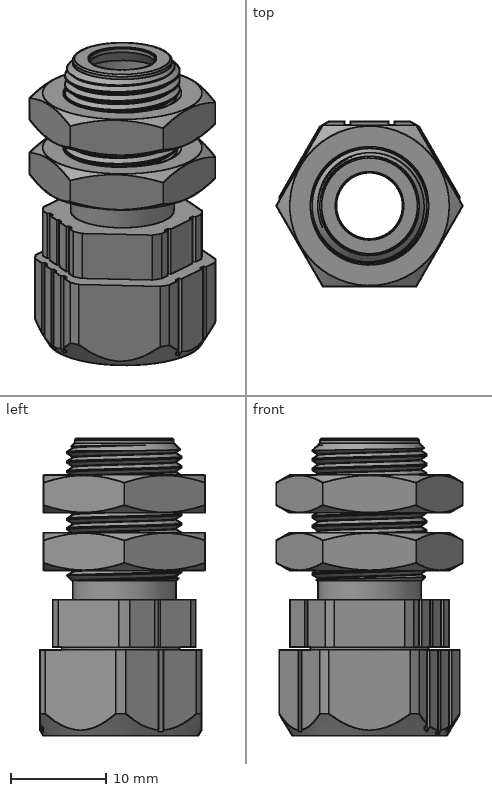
import cadquery as cq
import math


HEIGHT = 31.3
BORE_RADIUS = 4.35
LIP_RADIUS = 3.47
LIP_DEPTH = 0.53
LIP_CHAMFER = 0.13
BORE_TAPER_DEPTH = 1.22

CAP_FLATS = 17.0
CAP_CORNER_RADIUS = 9.5
CAP_HEIGHT = 9.05
CAP_BOTTOM_RADIUS = 8.15
CAP_TAPER_HEIGHT = 2.32
CAP_OFFSET_Y = 0.38

COLLAR_RADIUS = 6.23
BODY_BOTTOM = 9.33
BODY_TOP = 14.35
BODY_FLATS = 15.05
BODY_CORNER_RADIUS = 8.4

THREAD_PITCH = 1.0
THREAD_ROOT_RADIUS = 5.45
THREAD_CREST_RADIUS = 6.05
THREAD_EMBED = 0.03
THREAD_ROOT_WIDTH = 0.97
THREAD_CREST_WIDTH = 0.15
THREAD_BOTTOM = 16.3
THREAD_RUNOUT = 0.55
THREAD_CREST_LEVEL = 29.55
STEM_TIP_HEIGHT = 0.5
STEM_TIP_BOTTOM = HEIGHT - STEM_TIP_HEIGHT
STEM_TIP_RADIUS = 5.23
STEM_TIP_CHAMFER = 0.2

NUT_FLATS = CAP_FLATS
NUT_THICKNESS = 4.0
NUT_BOTTOMS = (17.37, 23.45)
NUT_FACE_RADIUS = 8.4
NUT_CHAMFER_ANGLE = 30.0
NUT_MOUTH_RADIUS = 6.23
NUT_MOUTH_DEPTH = 0.47

GROOVE_WIDTH = 0.63
GROOVE_DEPTH = 0.35
CENTER_GROOVE_DEPTH = 0.25
SHALLOW_GROOVE_DEPTH = 0.1
GROOVE_SPACING = 2.32
BODY_SINGLE_GROOVE_SHIFT = -0.3

OVERCUT = 0.3

HEX_HALF_ANGLE = math.pi / 6

ONE_GROOVE_FACE = 210
TWO_GROOVE_FACE = 90
THREE_GROOVE_FACE = 330


def hex_prism(flats, bottom, top):
    """Hexagonal prism with two corners on the X axis."""
    corner_diameter = flats / math.cos(HEX_HALF_ANGLE)
    base = cq.Workplane("XY").workplane(offset=bottom)
    return base.polygon(6, corner_diameter).extrude(top - bottom)


def cylinder(radius, bottom, top):
    return cq.Workplane("XY").workplane(offset=bottom).circle(radius).extrude(top - bottom)


def turned(points):
    """Solid of revolution about Z from (radius, height) points."""
    return cq.Workplane("XZ").polyline(points).close().revolve(360, (0, 0, 0), (0, 1, 0))


def groove(face_angle, flats, shift, depth, bottom, top):
    """Cutter for a vertical groove in one hexagon face."""
    radial_size = depth + OVERCUT
    cutter = cq.Workplane("XY").box(radial_size, GROOVE_WIDTH, top - bottom, centered=(False, True, False))
    cutter = cutter.translate((flats / 2 - depth, shift, bottom))
    return cutter.rotate((0, 0, 0), (0, 0, 1), face_angle)


def cut_grooves(solid, flats, bottom, top, single_shift, single_depth):
    """Mark three alternate faces with one, two and three grooves."""
    marks = [(ONE_GROOVE_FACE, single_shift, single_depth)]
    for side in (-1, 1):
        marks.append((TWO_GROOVE_FACE, side * GROOVE_SPACING, GROOVE_DEPTH))
        marks.append((THREE_GROOVE_FACE, side * GROOVE_SPACING, GROOVE_DEPTH))
    marks.append((THREE_GROOVE_FACE, 0, CENTER_GROOVE_DEPTH))
    for face_angle, shift, depth in marks:
        solid = solid.cut(groove(face_angle, flats, shift, depth, bottom, top))
    return solid


def make_cap():
    envelope = turned([
        (0, 0),
        (CAP_BOTTOM_RADIUS, 0),
        (CAP_CORNER_RADIUS, CAP_TAPER_HEIGHT),
        (CAP_CORNER_RADIUS, CAP_HEIGHT),
        (0, CAP_HEIGHT),
    ])
    cap = hex_prism(CAP_FLATS, 0, CAP_HEIGHT).intersect(envelope)
    cap = cut_grooves(cap, CAP_FLATS, 0, CAP_HEIGHT, 0, SHALLOW_GROOVE_DEPTH)
    collar = cylinder(COLLAR_RADIUS, CAP_HEIGHT, BODY_BOTTOM)
    return cap.union(collar).translate((0, CAP_OFFSET_Y, 0))


def make_body():
    body = hex_prism(BODY_FLATS, BODY_BOTTOM, BODY_TOP)
    body = body.intersect(cylinder(BODY_CORNER_RADIUS, BODY_BOTTOM, BODY_TOP))
    return cut_grooves(body, BODY_FLATS, BODY_BOTTOM, BODY_TOP, BODY_SINGLE_GROOVE_SHIFT, GROOVE_DEPTH)


def make_nut(bottom):
    """Lock nut with chamfered corners and a countersunk thread mouth on both faces."""
    top = bottom + NUT_THICKNESS
    outer_radius = NUT_FLATS / 2 / math.cos(HEX_HALF_ANGLE) + OVERCUT
    chamfer = (outer_radius - NUT_FACE_RADIUS) * math.tan(math.radians(NUT_CHAMFER_ANGLE))
    envelope = turned([
        (THREAD_ROOT_RADIUS, bottom + NUT_MOUTH_DEPTH),
        (NUT_MOUTH_RADIUS, bottom),
        (NUT_FACE_RADIUS, bottom),
        (outer_radius, bottom + chamfer),
        (outer_radius, top - chamfer),
        (NUT_FACE_RADIUS, top),
        (NUT_MOUTH_RADIUS, top),
        (THREAD_ROOT_RADIUS, top - NUT_MOUTH_DEPTH),
    ])
    return hex_prism(NUT_FLATS, bottom, top).intersect(envelope)


def make_thread():
    """Right-hand helical ridge, trimmed to run out at both ends."""
    turns = math.ceil((HEIGHT - THREAD_BOTTOM) / THREAD_PITCH) + 1
    turns_below_level = math.ceil((THREAD_CREST_LEVEL - THREAD_BOTTOM) / THREAD_PITCH)
    start = THREAD_CREST_LEVEL - turns_below_level * THREAD_PITCH
    helix = cq.Wire.makeHelix(THREAD_PITCH, turns * THREAD_PITCH, THREAD_ROOT_RADIUS)
    ridge = (
        cq.Workplane("XZ")
        .polyline([
            (THREAD_ROOT_RADIUS - THREAD_EMBED, -THREAD_ROOT_WIDTH / 2),
            (THREAD_CREST_RADIUS, -THREAD_CREST_WIDTH / 2),
            (THREAD_CREST_RADIUS, THREAD_CREST_WIDTH / 2),
            (THREAD_ROOT_RADIUS - THREAD_EMBED, THREAD_ROOT_WIDTH / 2),
        ])
        .close()
        .sweep(cq.Workplane(obj=helix), isFrenet=True)
        .translate((0, 0, start))
    )
    full_crest_top = STEM_TIP_BOTTOM - (THREAD_CREST_RADIUS - STEM_TIP_RADIUS)
    limit_radius = THREAD_CREST_RADIUS + OVERCUT
    limits = turned([
        (0, THREAD_BOTTOM),
        (THREAD_CREST_RADIUS - THREAD_RUNOUT, THREAD_BOTTOM),
        (limit_radius, THREAD_BOTTOM + THREAD_RUNOUT + OVERCUT),
        (limit_radius, full_crest_top - OVERCUT),
        (STEM_TIP_RADIUS, STEM_TIP_BOTTOM),
        (0, STEM_TIP_BOTTOM),
    ])
    return ridge.intersect(limits)


def make_stem():
    root_top = STEM_TIP_BOTTOM - (THREAD_ROOT_RADIUS - STEM_TIP_RADIUS)
    return turned([
        (0, BODY_TOP),
        (THREAD_ROOT_RADIUS, BODY_TOP),
        (THREAD_ROOT_RADIUS, root_top),
        (STEM_TIP_RADIUS, STEM_TIP_BOTTOM),
        (STEM_TIP_RADIUS, HEIGHT - STEM_TIP_CHAMFER),
        (STEM_TIP_RADIUS - STEM_TIP_CHAMFER, HEIGHT),
        (0, HEIGHT),
    ])


def make_bore():
    lip_bottom = HEIGHT - LIP_DEPTH
    return turned([
        (0, 0),
        (BORE_RADIUS, 0),
        (BORE_RADIUS, lip_bottom - BORE_TAPER_DEPTH),
        (LIP_RADIUS, lip_bottom),
        (LIP_RADIUS, HEIGHT - LIP_CHAMFER),
        (LIP_RADIUS + LIP_CHAMFER, HEIGHT),
        (0, HEIGHT),
    ])


result = make_cap().union(make_body()).union(make_stem()).union(make_thread())
for nut_bottom in NUT_BOTTOMS:
    result = result.union(make_nut(nut_bottom))
result = result.cut(make_bore())